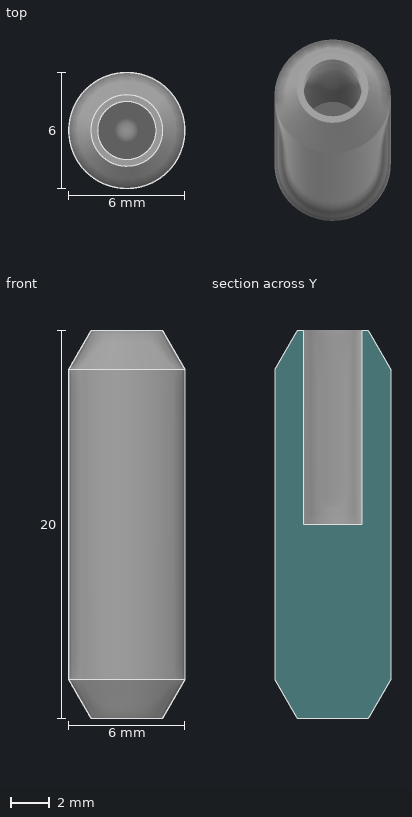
import cadquery as cq
import math

length = 20.0
body_diameter = 6.0
taper_height = 2.0
taper_angle = 30.0
bore_diameter = 3.0
bore_depth = 10.0

body_radius = body_diameter / 2
end_radius = body_radius - taper_height * math.tan(math.radians(taper_angle))


def make_tapered_pin():
    """Revolve the half profile of a pin, centred on the origin, about Z."""
    half_length = length / 2
    shoulder = half_length - taper_height
    return (
        cq.Workplane("XZ")
        .moveTo(0, -half_length)
        .lineTo(end_radius, -half_length)
        .lineTo(body_radius, -shoulder)
        .lineTo(body_radius, shoulder)
        .lineTo(end_radius, half_length)
        .lineTo(0, half_length)
        .close()
        .revolve(360, (0, 0, 0), (0, 1, 0))
    )


def bore_top_end(pin):
    """Cut the blind bore down from the +Z end face."""
    return pin.faces(">Z").workplane().hole(bore_diameter, bore_depth)


result = bore_top_end(make_tapered_pin())